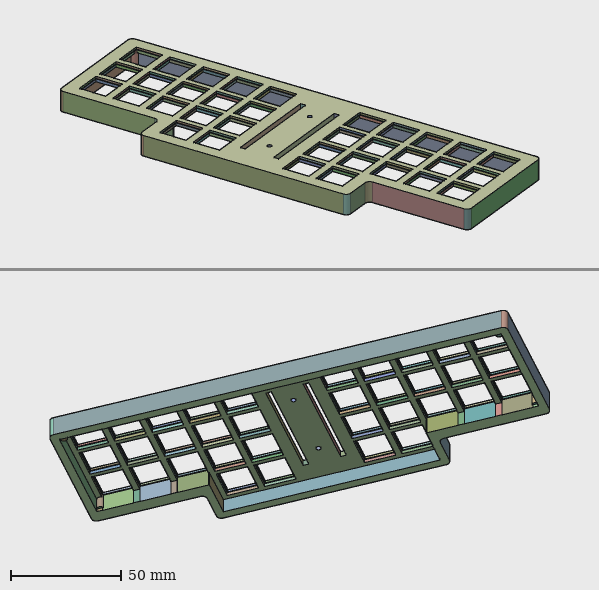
import cadquery as cq
LENGTH = 220.0
DEPTH = 78.0
HEIGHT = 10.5
CORNER_RADIUS = 2.5

KEY_SIZE = 14.0
SIDE_MARGIN = 7.0
COLUMNS_PER_HAND = 5
THUMB_KEYS_PER_HAND = 2
FULL_ROWS = 3
COLUMN_SPAN = 72.0
ROW_SPAN = 51.0
COLUMN_PITCH = COLUMN_SPAN / (COLUMNS_PER_HAND - 1)
ROW_PITCH = ROW_SPAN / FULL_ROWS

KEY_LIP = 1.3
KEY_RELIEF = 0.5
RELIEF_SIZE = KEY_SIZE + 2 * KEY_RELIEF

TAB_LENGTH = 112.0
STEP_Y = ROW_PITCH - DEPTH / 2

PLATE_THICKNESS = 3.0
CAVITY_HEIGHT = HEIGHT - PLATE_THICKNESS
WALL_THICKNESS = 4.0
STEP_WALL_THICKNESS = 6.2

POST_DIAMETER = 3.5
POST_INSET = 5.5
POST_BOTTOM = 1.5

SLOT_WIDTH = 2.6
SLOT_LENGTH = ROW_SPAN
SLOT_SPACING = COLUMN_PITCH
SCREW_HOLE_DIAMETER = 2.2
SCREW_HOLE_SPACING = 2 * ROW_PITCH


def t_block(inset, step_inset, height):
    """T-shaped block, inset from the case outline, with its own inset at the step."""
    half_length = LENGTH / 2 - inset
    half_depth = DEPTH / 2 - inset
    half_tab = TAB_LENGTH / 2 - inset
    step_y = STEP_Y + step_inset
    outline = [
        (-half_length, half_depth),
        (half_length, half_depth),
        (half_length, step_y),
        (half_tab, step_y),
        (half_tab, -half_depth),
        (-half_tab, -half_depth),
        (-half_tab, step_y),
        (-half_length, step_y),
    ]
    return cq.Workplane("XY").polyline(outline).close().extrude(height)


def key_centers():
    """Centres of all key openings, mirrored about the YZ plane."""
    outer_x = LENGTH / 2 - SIDE_MARGIN - KEY_SIZE / 2
    back_y = ROW_SPAN / 2
    centers = []
    for row in range(FULL_ROWS + 1):
        first_column = 0 if row < FULL_ROWS else COLUMNS_PER_HAND - THUMB_KEYS_PER_HAND
        for column in range(first_column, COLUMNS_PER_HAND):
            x = outer_x - column * COLUMN_PITCH
            y = back_y - row * ROW_PITCH
            centers += [(-x, y), (x, y)]
    return centers


def post_centers():
    """Centres of the posts in the four corners of the main body."""
    x = LENGTH / 2 - POST_INSET
    back_y = DEPTH / 2 - POST_INSET
    front_y = STEP_Y + POST_INSET
    return [(-x, back_y), (x, back_y), (-x, front_y), (x, front_y)]


cavity = t_block(WALL_THICKNESS, STEP_WALL_THICKNESS, CAVITY_HEIGHT)
case = t_block(0, 0, HEIGHT).edges("|Z").fillet(CORNER_RADIUS).cut(cavity)

keys = cq.Workplane("XY").pushPoints(key_centers()).rect(KEY_SIZE, KEY_SIZE).extrude(HEIGHT)
reliefs = (
    cq.Workplane("XY")
    .pushPoints(key_centers())
    .rect(RELIEF_SIZE, RELIEF_SIZE)
    .extrude(HEIGHT - KEY_LIP)
)

posts = (
    cq.Workplane("XY")
    .workplane(offset=POST_BOTTOM)
    .pushPoints(post_centers())
    .circle(POST_DIAMETER / 2)
    .extrude(HEIGHT - POST_BOTTOM)
)

slots = (
    cq.Workplane("XY")
    .pushPoints([(-SLOT_SPACING / 2, 0), (SLOT_SPACING / 2, 0)])
    .rect(SLOT_WIDTH, SLOT_LENGTH)
    .extrude(HEIGHT)
)
screw_holes = (
    cq.Workplane("XY")
    .pushPoints([(0, -SCREW_HOLE_SPACING / 2), (0, SCREW_HOLE_SPACING / 2)])
    .circle(SCREW_HOLE_DIAMETER / 2)
    .extrude(HEIGHT)
)

result = case.cut(keys).cut(reliefs).union(posts).cut(slots).cut(screw_holes)